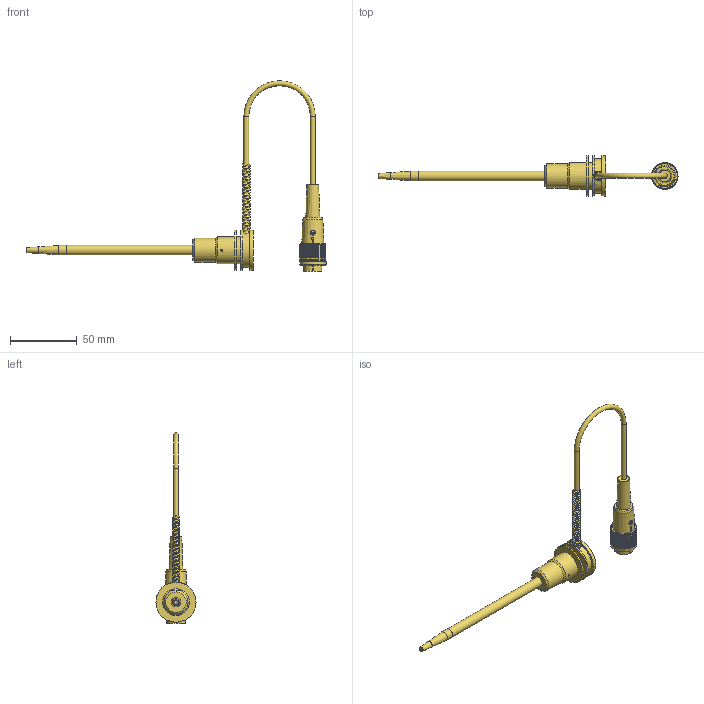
import cadquery as cq
import math


tip_length = 30.0
tip_nose_length = 9.6
tip_taper_end = 24.5
tip_end_diameter = 3.7
tip_nose_diameter = 5.0
tip_taper_diameter = 7.0
lens_bore_diameter = 3.24
lens_bore_depth = 0.7
lens_dome_height = 0.4

tube_diameter = 7.2

housing_start = 125.0
housing_end = 170.3
housing_front_diameter = 18.0
housing_front_chamfer = 1.3
housing_step_start = 142.0
housing_step_end = 143.3
housing_diameter = 20.0
flange_diameter = 30.0
washer_start = 156.1
washer_thickness = 1.4
flange_start = 160.9
groove_start = 162.2
groove_end = 167.7
groove_diameter = 26.0
marker_x = 146.6
marker_diameter = 1.5
marker_depth = 1.0
tube_seat_depth = 10.0

outlet_x = 165.0
outlet_diameter = 7.0
outlet_floor = 10.0

cable_diameter = 3.7
cable_bend_radius = 24.9
cable_bend_height = 100.1
cable_seat_depth = 2.0

spring_wire_diameter = 1.0
spring_mean_radius = 2.4
spring_pitch = 2.03
spring_top = 64.8

connector_x = outlet_x + 2 * cable_bend_radius
boot_top = 49.5
boot_top_diameter = 8.8
boot_bottom_diameter = 10.4
shell_top = 24.5
shell_top_diameter = 13.9
shell_shoulder = 22.8
shell_shoulder_diameter = 15.1
shell_bottom = 5.0
shell_bottom_diameter = 16.4
plug_diameter = 13.6
plug_bottom = -15.75
ring_bottom = -11.2
knurl_bottom = -8.2
ring_radius = 9.89
ring_edge_chamfer = 0.6
knurl_teeth = 48
knurl_land_share = 0.6
knurl_depth = 0.4
screw_z = 13.1
screw_diameter = 3.7
screw_head_diameter = 3.24
mark_depth = 0.5
screw_slot_width = 0.8
index_head_diameter = 1.49
index_head_z = 8.7
index_slot_width = 1.0
key_width = 0.8
key_top = -12.6
key_bottom = -14.9
key_depth = 0.5


def tip_body():
    bore_radius = lens_bore_diameter / 2
    dome_edge_x = lens_bore_depth
    dome_top_x = lens_bore_depth - lens_dome_height
    dome_mid = ((dome_edge_x + 3 * dome_top_x) / 4, bore_radius / 2)
    profile = (
        cq.Workplane("XY")
        .moveTo(dome_top_x, 0)
        .threePointArc(dome_mid, (dome_edge_x, bore_radius))
        .lineTo(0, bore_radius)
        .lineTo(0, tip_end_diameter / 2)
        .lineTo(tip_nose_length, tip_nose_diameter / 2)
        .lineTo(tip_taper_end, tip_taper_diameter / 2)
        .lineTo(tip_taper_end, tube_diameter / 2)
        .lineTo(tip_length, tube_diameter / 2)
        .lineTo(tip_length, 0)
        .close()
    )
    return profile.revolve(360, (0, 0, 0), (1, 0, 0))


def tube_body():
    length = housing_start + tube_seat_depth - tip_length
    return cq.Workplane("YZ", origin=(tip_length, 0, 0)).circle(tube_diameter / 2).extrude(length)


def disc(start, end, diameter):
    return cq.Workplane("YZ", origin=(start, 0, 0)).circle(diameter / 2).extrude(end - start)


def vertical_rod(x, bottom, top, diameter):
    return cq.Workplane("XY", origin=(x, 0, bottom)).circle(diameter / 2).extrude(top - bottom)


def housing_body():
    front_radius = housing_front_diameter / 2
    barrel = (
        cq.Workplane("XY")
        .moveTo(housing_start, 0)
        .lineTo(housing_start, front_radius - housing_front_chamfer)
        .lineTo(housing_start + housing_front_chamfer, front_radius)
        .lineTo(housing_step_start, front_radius)
        .lineTo(housing_step_end, housing_diameter / 2)
        .lineTo(housing_end, housing_diameter / 2)
        .lineTo(housing_end, 0)
        .close()
        .revolve(360, (0, 0, 0), (1, 0, 0))
    )
    body = (
        barrel.union(disc(washer_start, washer_start + washer_thickness, flange_diameter))
        .union(disc(flange_start, groove_start, flange_diameter))
        .union(disc(groove_start, groove_end, groove_diameter))
        .union(disc(groove_end, housing_end, flange_diameter))
    )
    marker = (
        cq.Workplane("XZ", origin=(marker_x, -housing_diameter / 2, 0))
        .circle(marker_diameter / 2)
        .extrude(marker_depth, both=True)
    )
    outlet = vertical_rod(outlet_x, outlet_floor, flange_diameter, outlet_diameter)
    return body.cut(marker).cut(outlet).cut(tube_body()).cut(cable_body())


def cable_body():
    path = (
        cq.Workplane("XZ")
        .moveTo(outlet_x, outlet_floor - cable_seat_depth)
        .lineTo(outlet_x, cable_bend_height)
        .threePointArc(
            (outlet_x + cable_bend_radius, cable_bend_height + cable_bend_radius),
            (connector_x, cable_bend_height),
        )
        .lineTo(connector_x, boot_top - cable_seat_depth)
    )
    start = cq.Workplane("XY", origin=(outlet_x, 0, outlet_floor - cable_seat_depth))
    return start.circle(cable_diameter / 2).sweep(path)


def spring_body():
    first_turn = outlet_floor + spring_wire_diameter / 2
    height = spring_top - spring_wire_diameter / 2 - first_turn
    helix = cq.Wire.makeHelix(spring_pitch, height, spring_mean_radius, lefthand=True)
    coil = (
        cq.Workplane("XZ", origin=(spring_mean_radius, 0, 0))
        .circle(spring_wire_diameter / 2)
        .sweep(cq.Workplane(helix), isFrenet=True)
    )
    return coil.translate((outlet_x, 0, first_turn))


def connector_body():
    body = (
        cq.Workplane("XZ")
        .moveTo(0, boot_top)
        .lineTo(boot_top_diameter / 2, boot_top)
        .lineTo(boot_bottom_diameter / 2, shell_top)
        .lineTo(shell_top_diameter / 2, shell_top)
        .lineTo(shell_shoulder_diameter / 2, shell_shoulder)
        .lineTo(shell_bottom_diameter / 2, shell_bottom)
        .lineTo(plug_diameter / 2, shell_bottom)
        .lineTo(plug_diameter / 2, plug_bottom)
        .lineTo(0, plug_bottom)
        .close()
        .revolve(360, (0, 0, 0), (0, 1, 0))
        .translate((connector_x, 0, 0))
    )
    slope = (shell_bottom_diameter - shell_shoulder_diameter) / 2 / (shell_shoulder - shell_bottom)

    def front_y(z):
        return -(shell_bottom_diameter / 2 - slope * (z - shell_bottom))

    def front_face(z):
        return cq.Workplane("XZ", origin=(connector_x, front_y(z), z))

    screw_gap = (
        front_face(screw_z)
        .circle(screw_diameter / 2)
        .circle(screw_head_diameter / 2)
        .extrude(mark_depth, both=True)
    )
    screw_slot = (
        front_face(screw_z)
        .rect(screw_head_diameter, screw_slot_width)
        .extrude(mark_depth, both=True)
    )
    index_head = front_face(index_head_z).circle(index_head_diameter / 2).extrude(mark_depth, both=True)
    index_length = index_head_z - shell_bottom
    index_slot = (
        front_face(shell_bottom + index_length / 2)
        .rect(index_slot_width, index_length)
        .extrude(mark_depth, both=True)
    )
    key_middle = (key_top + key_bottom) / 2
    key = (
        cq.Workplane("XZ", origin=(connector_x, -plug_diameter / 2, key_middle))
        .rect(key_width, key_top - key_bottom)
        .extrude(key_depth, both=True)
    )
    for recess in (screw_gap, screw_slot, index_head, index_slot, key, cable_body()):
        body = body.cut(recess)
    return body


def polar(radius, angle):
    return (radius * math.cos(angle), radius * math.sin(angle))


def ring_body():
    pitch_angle = 2 * math.pi / knurl_teeth
    half_land_angle = knurl_land_share * pitch_angle / 2
    points = []
    for tooth in range(knurl_teeth):
        middle = tooth * pitch_angle - math.pi / 2
        points.append(polar(ring_radius, middle - half_land_angle))
        points.append(polar(ring_radius, middle + half_land_angle))
        points.append(polar(ring_radius - knurl_depth, middle + pitch_angle / 2))
    knurl = (
        cq.Workplane("XY", origin=(connector_x, 0, knurl_bottom))
        .polyline(points)
        .close()
        .extrude(shell_bottom - knurl_bottom)
    )
    chamfered_blank = vertical_rod(connector_x, knurl_bottom, shell_bottom, 2 * ring_radius)
    knurl = knurl.intersect(chamfered_blank.faces(">Z").chamfer(ring_edge_chamfer))
    collar = vertical_rod(connector_x, ring_bottom, knurl_bottom, 2 * ring_radius)
    collar = collar.faces("<Z").chamfer(ring_edge_chamfer)
    bore = vertical_rod(connector_x, ring_bottom, shell_bottom, plug_diameter)
    return knurl.union(collar).cut(bore)


tip = tip_body()
tube = tube_body()
housing = housing_body()
cable = cable_body()
spring = spring_body()
connector = connector_body()
ring = ring_body()

bodies = [tip, tube, housing, cable, spring, connector, ring]
result = cq.Compound.makeCompound([body.val() for body in bodies])